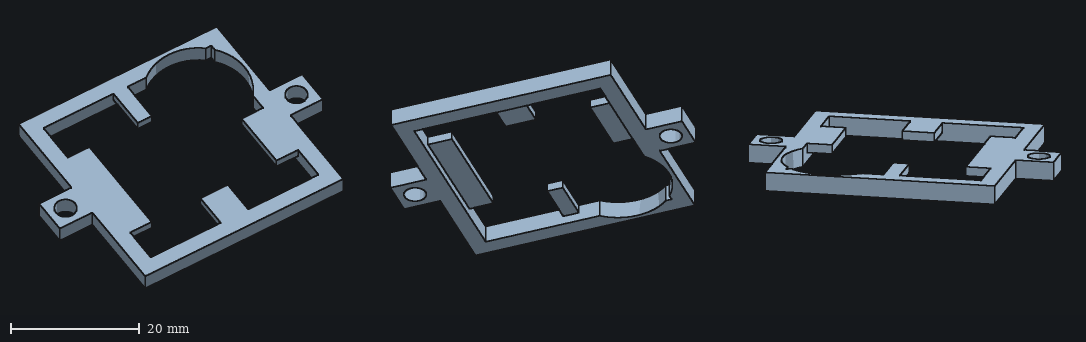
import cadquery as cq

frame_side = 36.5
thickness = 3.0
wall = 2.8
inner_half = frame_side / 2 - wall

overall_length = 48.5
ear_width = 6.0
ear_hole_diameter = 3.5
ear_length = (overall_length - frame_side) / 2
ear_hole_y = (overall_length - ear_length) / 2

clearance_radius = 8.5
clearance_offset = 8.95

tab_thickness = thickness / 2
tab_left_x = -8.45
tab_right_x = 9.55
tab_depth = 4.0
back_tab_left_x = -0.55
side_tab_front_y = -2.55
right_tab_back_y = 2.5
left_tab_back_y = 0.05


def support_tab(x_min, x_max, y_min, y_max):
    """Rectangular tab spanning the given X and Y limits below the top face."""
    return (
        cq.Workplane("XY", origin=(x_min, y_min, thickness - tab_thickness))
        .rect(x_max - x_min, y_max - y_min, centered=False)
        .extrude(tab_thickness)
    )


body = (
    cq.Workplane("XY")
    .rect(frame_side, frame_side)
    .extrude(thickness)
    .union(cq.Workplane("XY").rect(ear_width, overall_length).extrude(thickness))
)
opening = cq.Workplane("XY").rect(2 * inner_half, 2 * inner_half).extrude(thickness)
clearance = (
    cq.Workplane("XY")
    .center(-clearance_offset, clearance_offset)
    .circle(clearance_radius)
    .extrude(thickness)
)
ear_holes = (
    cq.Workplane("XY")
    .pushPoints([(0, ear_hole_y), (0, -ear_hole_y)])
    .circle(ear_hole_diameter / 2)
    .extrude(thickness)
)
result = body.cut(opening).cut(clearance).cut(ear_holes)

tab_limits = [
    (back_tab_left_x, tab_right_x, inner_half - tab_depth, inner_half),
    (tab_left_x, tab_right_x, -inner_half, -inner_half + tab_depth),
    (tab_right_x, inner_half, side_tab_front_y, right_tab_back_y),
    (-inner_half, tab_left_x, side_tab_front_y, left_tab_back_y),
]
for limits in tab_limits:
    result = result.union(support_tab(*limits))